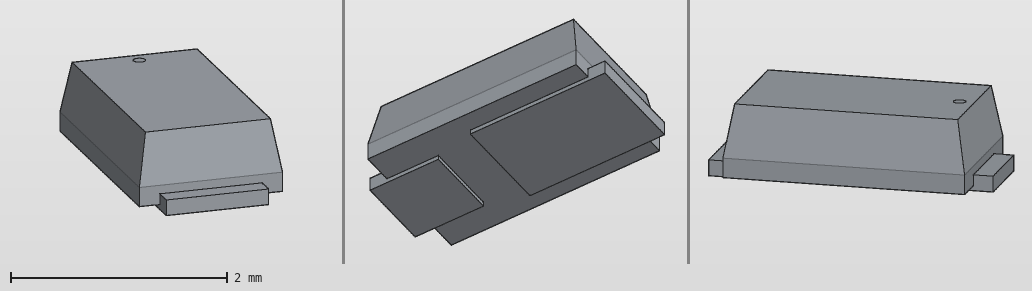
import cadquery as cq

overall_length = 2.69
overall_height = 0.74

housing_length = 2.313
housing_width = 1.4
housing_bottom = 0.048
base_top = 0.237
taper_inset = 0.09

lead_thickness = 0.153
left_lead_length = 0.759
left_lead_width = 0.759
right_lead_length = 1.495
right_lead_width = 1.0

mark_diameter = 0.115
mark_depth = 0.013
mark_from_left_end = 0.42

left_end = -overall_length / 2
right_end = overall_length / 2
mark_x = left_end + mark_from_left_end


def make_lead(start_x, length, width):
    """Flat lead resting on Z = 0 and running from start_x along +X."""
    return cq.Workplane("XY", origin=(start_x, 0, 0)).box(
        length, width, lead_thickness, centered=(False, True, False)
    )


def make_mark():
    """Thin round disc whose top is level with the top of the housing."""
    return (
        cq.Workplane("XY", origin=(mark_x, 0, overall_height - mark_depth))
        .circle(mark_diameter / 2)
        .extrude(mark_depth)
    )


def make_housing_blank():
    """Straight rectangular base joined to a cap that narrows on all four sides."""
    base = (
        cq.Workplane("XY", origin=(0, 0, housing_bottom))
        .rect(housing_length, housing_width)
        .extrude(base_top - housing_bottom)
    )
    cap = (
        cq.Workplane("XY", origin=(0, 0, base_top))
        .rect(housing_length, housing_width)
        .workplane(offset=overall_height - base_top)
        .rect(housing_length - 2 * taper_inset, housing_width - 2 * taper_inset)
        .loft(ruled=True)
    )
    return base.union(cap)


left_lead = make_lead(left_end, left_lead_length, left_lead_width)
right_lead = make_lead(right_end - right_lead_length, right_lead_length, right_lead_width)
polarity_mark = make_mark()

housing = make_housing_blank().cut(left_lead).cut(right_lead).cut(polarity_mark)

result = cq.Compound.makeCompound(
    [housing.val(), left_lead.val(), right_lead.val(), polarity_mark.val()]
)